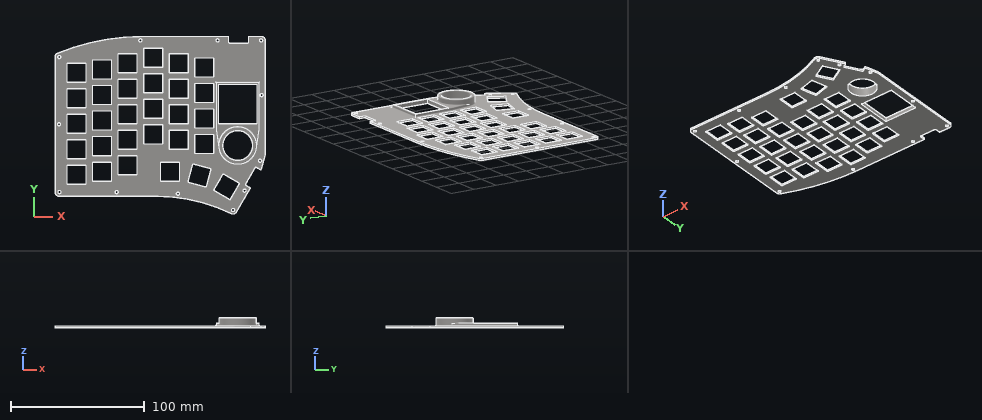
import cadquery as cq
import math

PLATE_WIDTH = 156.91
PLATE_TOP = 132.65
PLATE_THICKNESS = 1.5
BOTTOM_EDGE_Y = 13.2
TOP_ARC_START_X = 65.5
TOP_ARC_RADIUS = 168.0
BOTTOM_ARC_START_X = 75.5
BOTTOM_ARC_RADIUS = 127.5
CORNER_RADIUS = 3.0
BLUNT_CORNER_RADIUS = 2.5

THUMB_TILT = 30.0
THUMB_TIP_X = 133.95
BEVEL_ANGLE = 15.0
BEVEL_START_Y = 44.3

NOTCH_CORNER_RADIUS = 0.5
TOP_NOTCH_CENTER_X = 136.9
TOP_NOTCH_WIDTH = 14.7
TOP_NOTCH_DEPTH = 5.0
THUMB_NOTCH_WIDTH = 15.4
THUMB_NOTCH_DEPTH = 4.5
THUMB_NOTCH_LIP = 1.3

KEY_SIZE = 14.0
KEY_PITCH = 19.05
FIRST_KEY_X = 16.0
BASE_ROW_Y = 29.3
KEY_COLUMNS = [(0, 0, 5), (2.375, 0, 5), (7.125, 0, 5), (11.15, 1, 4), (7.125, 1, 4), (3.9, 1, 4)]
THUMB_KEYS = [(85.72, 31.59, 0), (107.72, 28.82, 15), (127.96, 20.39, 30)]

SCREW_DIAMETER = 2.2
SCREW_HOLES = [
    (3.0, 117.2), (63.65, 129.6), (121.2, 129.6), (153.7, 129.6), (154.1, 88.8), (153.0, 39.8),
    (141.35, 17.55), (132.8, 3.05), (91.65, 15.2), (45.88, 16.4), (3.25, 16.45), (2.9, 67.0),
]

COLLAR_X = 136.25
COLLAR_Y = 51.2
COLLAR_DIAMETER = 28.0
COLLAR_BORE = 22.0
COLLAR_TOP = 7.5
WINDOW_WIDTH = 28.6
WINDOW_HEIGHT = 29.0
WINDOW_CENTER_Y = 82.1
BEZEL_WIDTH = 32.0
BEZEL_TOP_Y = 98.3
BEZEL_TAPER_Y = 64.0
DECK_TOP = 3.5
BEZEL_FILLET = 0.5

SELECTION_MARGIN = 0.1


def arc_drop(radius, run):
    """Distance an arc has left its tangent line after a given run along it."""
    return radius - math.sqrt(radius**2 - run**2)


def top_arc_y(x):
    return PLATE_TOP - arc_drop(TOP_ARC_RADIUS, TOP_ARC_START_X - x)


def bottom_arc_y(x):
    return BOTTOM_EDGE_Y - arc_drop(BOTTOM_ARC_RADIUS, x - BOTTOM_ARC_START_X)


def thumb_edge_end(tip):
    """Crossing of the slanted thumb edge with the bevel of the right edge."""
    edge_slope = math.tan(math.radians(90 - THUMB_TILT))
    bevel_slope = math.tan(math.radians(90 - BEVEL_ANGLE))
    rise = BEVEL_START_Y - tip[1] - bevel_slope * (PLATE_WIDTH - tip[0])
    run = rise / (edge_slope - bevel_slope)
    return tip[0] + run, tip[1] + run * edge_slope


def make_plate():
    tip = (THUMB_TIP_X, bottom_arc_y(THUMB_TIP_X))
    edge_end = thumb_edge_end(tip)
    top_mid_x = TOP_ARC_START_X / 2
    bottom_mid_x = (BOTTOM_ARC_START_X + THUMB_TIP_X) / 2
    plate = (
        cq.Workplane("XY")
        .moveTo(0, BOTTOM_EDGE_Y)
        .lineTo(BOTTOM_ARC_START_X, BOTTOM_EDGE_Y)
        .threePointArc((bottom_mid_x, bottom_arc_y(bottom_mid_x)), tip)
        .lineTo(*edge_end)
        .lineTo(PLATE_WIDTH, BEVEL_START_Y)
        .lineTo(PLATE_WIDTH, PLATE_TOP)
        .lineTo(TOP_ARC_START_X, PLATE_TOP)
        .threePointArc((top_mid_x, top_arc_y(top_mid_x)), (0, top_arc_y(0)))
        .close()
        .extrude(PLATE_THICKNESS)
    )
    rounded_corners = [
        ((0, BOTTOM_EDGE_Y), CORNER_RADIUS),
        (tip, CORNER_RADIUS),
        ((PLATE_WIDTH, PLATE_TOP), CORNER_RADIUS),
        ((0, top_arc_y(0)), BLUNT_CORNER_RADIUS),
    ]
    for (x, y), radius in rounded_corners:
        corner = cq.selectors.NearestToPointSelector((x, y, PLATE_THICKNESS / 2))
        plate = plate.edges("|Z").edges(corner).fillet(radius)
    return plate


def notch(start, direction, width, depth):
    """Cutter for an edge notch that starts at a point of the edge and runs along it.

    The direction is in degrees, with the plate on its left side.
    """
    return (
        cq.Workplane("XY")
        .rect(width, 2 * depth)
        .extrude(PLATE_THICKNESS)
        .edges("|Z and >Y")
        .fillet(NOTCH_CORNER_RADIUS)
        .translate((width / 2, 0, 0))
        .rotate((0, 0, 0), (0, 0, 1), direction)
        .translate((*start, 0))
    )


def cut_notches(plate):
    end_x, end_y = thumb_edge_end((THUMB_TIP_X, bottom_arc_y(THUMB_TIP_X)))
    direction = 90 - THUMB_TILT
    setback = THUMB_NOTCH_WIDTH + THUMB_NOTCH_LIP
    thumb_start = (
        end_x - setback * math.cos(math.radians(direction)),
        end_y - setback * math.sin(math.radians(direction)),
    )
    top_start = (TOP_NOTCH_CENTER_X + TOP_NOTCH_WIDTH / 2, PLATE_TOP)
    plate = plate.cut(notch(thumb_start, direction, THUMB_NOTCH_WIDTH, THUMB_NOTCH_DEPTH))
    return plate.cut(notch(top_start, 180, TOP_NOTCH_WIDTH, TOP_NOTCH_DEPTH))


def key_opening(x, y, clockwise_tilt=0):
    return (
        cq.Workplane("XY")
        .rect(KEY_SIZE, KEY_SIZE)
        .extrude(PLATE_THICKNESS)
        .rotate((0, 0, 0), (0, 0, 1), -clockwise_tilt)
        .translate((x, y, 0))
    )


def cut_keys(plate):
    for column, (stagger, lowest_row, count) in enumerate(KEY_COLUMNS):
        x = FIRST_KEY_X + column * KEY_PITCH
        for row in range(lowest_row, lowest_row + count):
            plate = plate.cut(key_opening(x, BASE_ROW_Y + stagger + row * KEY_PITCH))
    for x, y, tilt in THUMB_KEYS:
        plate = plate.cut(key_opening(x, y, tilt))
    return plate


def cut_screw_holes(plate):
    holes = cq.Workplane("XY").pushPoints(SCREW_HOLES).circle(SCREW_DIAMETER / 2).extrude(PLATE_THICKNESS)
    return plate.cut(holes)


def make_deck():
    """Flat deck around the window, its sides running tangent into the collar, with a rounded rim."""
    radius = COLLAR_DIAMETER / 2
    half_width = BEZEL_WIDTH / 2
    taper_rise = BEZEL_TAPER_Y - COLLAR_Y
    reach = math.hypot(half_width, taper_rise)
    tangent_angle = math.atan2(taper_rise, half_width) - math.acos(radius / reach)
    tangent_x = radius * math.cos(tangent_angle)
    tangent_y = COLLAR_Y + radius * math.sin(tangent_angle)
    return (
        cq.Workplane("XY", origin=(0, 0, PLATE_THICKNESS))
        .moveTo(COLLAR_X - half_width, BEZEL_TOP_Y)
        .lineTo(COLLAR_X - half_width, BEZEL_TAPER_Y)
        .lineTo(COLLAR_X - tangent_x, tangent_y)
        .lineTo(COLLAR_X + tangent_x, tangent_y)
        .lineTo(COLLAR_X + half_width, BEZEL_TAPER_Y)
        .lineTo(COLLAR_X + half_width, BEZEL_TOP_Y)
        .close()
        .extrude(DECK_TOP - PLATE_THICKNESS)
        .faces(">Z")
        .edges("not <Y")
        .fillet(BEZEL_FILLET)
    )


def make_collar():
    return (
        cq.Workplane("XY", origin=(COLLAR_X, COLLAR_Y, PLATE_THICKNESS))
        .circle(COLLAR_DIAMETER / 2)
        .extrude(COLLAR_TOP - PLATE_THICKNESS)
    )


def add_bezel(plate):
    """Deck and collar, blended into each other and into the plate."""
    bezel = make_deck().union(make_collar())
    deck_level = cq.selectors.BoxSelector(
        (0, 0, DECK_TOP - SELECTION_MARGIN),
        (PLATE_WIDTH, PLATE_TOP, DECK_TOP + SELECTION_MARGIN),
    )
    bezel = bezel.edges("%CIRCLE").edges(deck_level).fillet(BEZEL_FILLET)
    foot = cq.selectors.BoxSelector(
        (COLLAR_X - BEZEL_WIDTH, COLLAR_Y - COLLAR_DIAMETER, PLATE_THICKNESS - SELECTION_MARGIN),
        (COLLAR_X + BEZEL_WIDTH / 2 + SELECTION_MARGIN, PLATE_TOP - CORNER_RADIUS, PLATE_THICKNESS + SELECTION_MARGIN),
    )
    return plate.union(bezel).edges(foot).fillet(BEZEL_FILLET)


def cut_bore(plate):
    """Through bore of the collar, with both edges of the collar's top rounded."""
    bore = (
        cq.Workplane("XY", origin=(COLLAR_X, COLLAR_Y, 0))
        .circle(COLLAR_BORE / 2)
        .extrude(COLLAR_TOP)
    )
    return plate.cut(bore).faces(">Z").edges().fillet(BEZEL_FILLET)


def cut_window(plate):
    window = (
        cq.Workplane("XY", origin=(COLLAR_X, WINDOW_CENTER_Y, 0))
        .rect(WINDOW_WIDTH, WINDOW_HEIGHT)
        .extrude(DECK_TOP)
    )
    return plate.cut(window)


body = add_bezel(make_plate())
body = cut_bore(body)
body = cut_window(body)
body = cut_notches(body)
body = cut_keys(body)
result = cut_screw_holes(body)